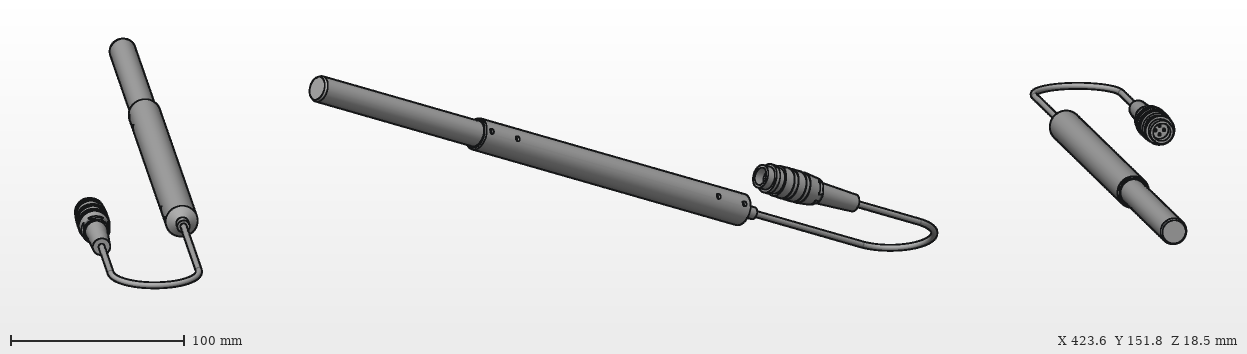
import cadquery as cq
import math

TILT = -13.0

PROBE_DIAMETER = 15.3
PROBE_LENGTH = 119.5
TIP_FACE_DIAMETER = 13.5
TIP_TAPER_LENGTH = 1.5

GRIP_DIAMETER = 18.5
GRIP_LENGTH = 200.0
GRIP_CHAMFER = 1.0
CONE_LENGTH = 4.0
NECK_DIAMETER = 7.0
NECK_LENGTH = 6.0

SCREW_HOLE_DIAMETER = 3.0
SCREW_HOLE_DEPTH = 2.0
SCREW_HOLE_INSETS = (4.5, 24.0)

CABLE_DIAMETER = 3.7
BEND_RADIUS = 25.5
BEND_CENTRE_X = 411.0

PLUG_LENGTH = 41.5
NOSE_DIAMETER = 13.5
NOSE_LENGTH = 5.0
FLANGE_DIAMETER = 17.0
FLANGE_END = 7.5
WAIST_DIAMETER = 15.3
WAIST_END = 12.0
SHOULDER_DIAMETER = 18.0
BARREL_DIAMETER = 18.2
GROOVE_DIAMETER = 17.5
GROOVE_WIDTH = 3.0
GROOVE_STARTS = (18.2, 27.0)
TAIL_DIAMETER = 16.0
TAIL_CHAMFER_X = 40.0
TAIL_END_DIAMETER = 15.0

FLAT_COUNT = 4
FLAT_START = 38.0
WIDTH_ACROSS_FLATS = 14.0

SOCKET_DIAMETER = 10.0
SOCKET_DEPTH = 6.5
CONTACT_COUNT = 4
CONTACT_DIAMETER = 1.5
CONTACT_RADIUS = 2.5
CONTACT_DEPTH = 2.0

BOOT_START_DIAMETER = 12.5
BOOT_END_DIAMETER = 10.0
BOOT_LENGTH = 29.0
BOOT_END_X = 362.0

grip_end_x = PROBE_LENGTH + GRIP_LENGTH
neck_end_x = grip_end_x + CONE_LENGTH + NECK_LENGTH
plug_axis_y = -2 * BEND_RADIUS
boot_start_x = BOOT_END_X - BOOT_LENGTH
plug_face_x = boot_start_x - PLUG_LENGTH


def turned(stations, start_x, axis_y=0):
    """Solid of revolution along X from (distance, diameter) stations."""
    length = stations[-1][0]
    outline = [(0, 0)]
    outline += [(distance, diameter / 2) for distance, diameter in stations]
    outline += [(length, 0)]
    solid = cq.Workplane("XY").polyline(outline).close().revolve(360, (0, 0, 0), (1, 0, 0))
    return solid.translate((start_x, axis_y, 0))


def rod_along_x(diameter, length, start):
    return cq.Workplane("YZ").circle(diameter / 2).extrude(length).translate(start)


def make_probe():
    stations = [
        (0, TIP_FACE_DIAMETER),
        (TIP_TAPER_LENGTH, PROBE_DIAMETER),
        (PROBE_LENGTH, PROBE_DIAMETER),
    ]
    return turned(stations, 0)


def make_handle():
    cone_end = GRIP_LENGTH + CONE_LENGTH
    stations = [
        (0, GRIP_DIAMETER - 2 * GRIP_CHAMFER),
        (GRIP_CHAMFER, GRIP_DIAMETER),
        (GRIP_LENGTH, GRIP_DIAMETER),
        (cone_end, NECK_DIAMETER),
        (cone_end + NECK_LENGTH, NECK_DIAMETER),
    ]
    handle = turned(stations, PROBE_LENGTH)
    for inset in SCREW_HOLE_INSETS:
        for hole_x in (PROBE_LENGTH + inset, grip_end_x - inset):
            hole = (
                cq.Workplane("XZ")
                .circle(SCREW_HOLE_DIAMETER / 2)
                .extrude(SCREW_HOLE_DEPTH)
                .translate((hole_x, SCREW_HOLE_DEPTH - GRIP_DIAMETER / 2, 0))
            )
            handle = handle.cut(hole)
    return handle


def make_cable():
    path = (
        cq.Workplane("XY")
        .moveTo(neck_end_x, 0)
        .lineTo(BEND_CENTRE_X, 0)
        .threePointArc((BEND_CENTRE_X + BEND_RADIUS, -BEND_RADIUS), (BEND_CENTRE_X, plug_axis_y))
        .lineTo(BOOT_END_X, plug_axis_y)
    )
    section = cq.Workplane("YZ", origin=(neck_end_x, 0, 0)).circle(CABLE_DIAMETER / 2)
    return section.sweep(path)


def make_plug():
    stations = [
        (0, NOSE_DIAMETER),
        (NOSE_LENGTH, NOSE_DIAMETER),
        (NOSE_LENGTH, FLANGE_DIAMETER),
        (FLANGE_END, FLANGE_DIAMETER),
        (FLANGE_END, WAIST_DIAMETER),
        (WAIST_END, WAIST_DIAMETER),
        (WAIST_END, SHOULDER_DIAMETER),
    ]
    for groove_x in GROOVE_STARTS:
        groove_end = groove_x + GROOVE_WIDTH
        stations += [
            (groove_x, BARREL_DIAMETER),
            (groove_x, GROOVE_DIAMETER),
            (groove_end, GROOVE_DIAMETER),
            (groove_end, BARREL_DIAMETER),
        ]
    stations += [(TAIL_CHAMFER_X, TAIL_DIAMETER), (PLUG_LENGTH, TAIL_END_DIAMETER)]
    plug = turned(stations, plug_face_x, plug_axis_y)

    plug = plug.cut(rod_along_x(SOCKET_DIAMETER, SOCKET_DEPTH, (plug_face_x, plug_axis_y, 0)))
    for index in range(CONTACT_COUNT):
        angle = 2 * math.pi * index / CONTACT_COUNT
        contact_y = plug_axis_y + CONTACT_RADIUS * math.cos(angle)
        contact_z = CONTACT_RADIUS * math.sin(angle)
        start = (plug_face_x + SOCKET_DEPTH, contact_y, contact_z)
        plug = plug.cut(rod_along_x(CONTACT_DIAMETER, CONTACT_DEPTH, start))
    return cut_spanner_flats(plug)


def cut_spanner_flats(plug):
    cutter_x = plug_face_x + FLAT_START
    cutter = cq.Workplane("XY").box(
        PLUG_LENGTH - FLAT_START, BARREL_DIAMETER, BARREL_DIAMETER, centered=(False, True, False)
    )
    cutter = cutter.translate((cutter_x, plug_axis_y, WIDTH_ACROSS_FLATS / 2))
    axis_start = (cutter_x, plug_axis_y, 0)
    axis_end = (cutter_x + 4.2, plug_axis_y, 0)
    for index in range(FLAT_COUNT):
        plug = plug.cut(cutter.rotate(axis_start, axis_end, 360 * index / FLAT_COUNT))
    return plug


def make_boot():
    stations = [(0, BOOT_START_DIAMETER), (BOOT_LENGTH, BOOT_END_DIAMETER)]
    return turned(stations, boot_start_x, plug_axis_y)


def tilted(body):
    return body.rotate((0, 0, 0), (0, 0, 1), TILT)


probe = tilted(make_probe())
handle = tilted(make_handle())
cable = tilted(make_cable())
plug = tilted(make_plug())
boot = tilted(make_boot())

result = cq.Compound.makeCompound([probe.val(), handle.val(), cable.val(), plug.val(), boot.val()])